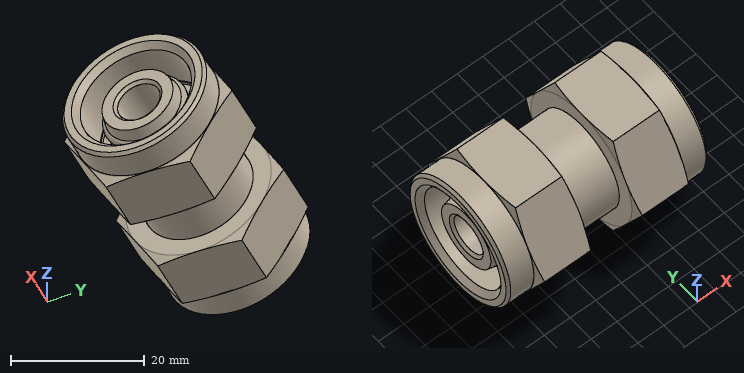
import cadquery as cq
import math

LENGTH = 39.0
MID = LENGTH / 2

ACROSS_FLATS = 24.0
NUT_LENGTH = 15.0
COLLAR_LENGTH = 5.0
COLLAR_RADIUS = 11.9
COLLAR_CHAMFER = 0.5
HEX_CHAMFER = 0.5
MOUTH_RADIUS = 10.18
MOUTH_DEPTH = 1.0
CAVITY_DEPTH = 8.4
CAVITY_RADIUS = MOUTH_RADIUS - MOUTH_DEPTH

BODY_RADIUS = 9.0
SHOULDER_DEPTH = 8.95
TIP_DEPTH = 1.6
TIP_RADIUS = 5.85
CONE_HALF_ANGLE = 12
BEAD_RADIUS = 7.0
BEAD_START_DEPTH = 3.65
BEAD_WIDTH = 1.55
BORE_RADIUS = 3.5
BORE_CHAMFER = 0.5

CORNER_RADIUS = ACROSS_FLATS / 2 / math.cos(math.radians(30))
CONE_SLOPE = math.tan(math.radians(CONE_HALF_ANGLE))


def revolve_about_x(profile):
    """Turn a closed (x, radius) profile drawn on the XY plane about the X axis."""
    return profile.close().revolve(360, (0, 0, 0), (1, 0, 0))


def cone_radius(depth):
    """Radius of the sealing cone at a distance behind the end plane of the coupling."""
    return TIP_RADIUS + (depth - TIP_DEPTH) * CONE_SLOPE


def make_hexagon():
    """Hexagon with flats at top and bottom, its corners chamfered at both ends."""
    start = -MID + COLLAR_LENGTH
    end = -MID + NUT_LENGTH
    flat_radius = ACROSS_FLATS / 2
    hexagon = (
        cq.Workplane("YZ", origin=(start, 0, 0))
        .polygon(6, 2 * CORNER_RADIUS)
        .extrude(end - start)
    )
    envelope = revolve_about_x(
        cq.Workplane("XY")
        .moveTo(start, 0)
        .lineTo(start, flat_radius)
        .lineTo(start + HEX_CHAMFER, CORNER_RADIUS)
        .lineTo(end - HEX_CHAMFER, CORNER_RADIUS)
        .lineTo(end, flat_radius)
        .lineTo(end, 0)
    )
    return hexagon.intersect(envelope)


def make_nut():
    """Union nut on the -X end: round collar, hexagon, flared mouth and stepped bore."""
    collar = (
        cq.Workplane("YZ", origin=(-MID, 0, 0))
        .circle(COLLAR_RADIUS)
        .extrude(COLLAR_LENGTH)
        .faces("<X")
        .chamfer(COLLAR_CHAMFER)
    )
    cavity = revolve_about_x(
        cq.Workplane("XY")
        .moveTo(-MID, 0)
        .lineTo(-MID, MOUTH_RADIUS)
        .lineTo(-MID + MOUTH_DEPTH, CAVITY_RADIUS)
        .lineTo(-MID + CAVITY_DEPTH, CAVITY_RADIUS)
        .lineTo(-MID + CAVITY_DEPTH, BODY_RADIUS)
        .lineTo(-MID + NUT_LENGTH, BODY_RADIUS)
        .lineTo(-MID + NUT_LENGTH, 0)
    )
    return collar.union(make_hexagon()).cut(cavity)


def make_nipple():
    """Tapered nipple on the -X end, with a rounded sealing bead around its cone."""
    bead_end_depth = BEAD_START_DEPTH + BEAD_WIDTH
    return revolve_about_x(
        cq.Workplane("XY")
        .moveTo(-MID + TIP_DEPTH, 0)
        .lineTo(-MID + TIP_DEPTH, TIP_RADIUS)
        .lineTo(-MID + BEAD_START_DEPTH, cone_radius(BEAD_START_DEPTH))
        .threePointArc(
            (-MID + BEAD_START_DEPTH + BEAD_WIDTH / 2, BEAD_RADIUS),
            (-MID + bead_end_depth, cone_radius(bead_end_depth)),
        )
        .lineTo(-MID + SHOULDER_DEPTH, cone_radius(SHOULDER_DEPTH))
        .lineTo(-MID + SHOULDER_DEPTH, 0)
    )


def make_body():
    """Tubular body with a nipple at each end and a chamfered through bore."""
    barrel_length = LENGTH - 2 * SHOULDER_DEPTH
    nipple = make_nipple()
    body = (
        cq.Workplane("YZ", origin=(-barrel_length / 2, 0, 0))
        .circle(BODY_RADIUS)
        .extrude(barrel_length)
        .union(nipple)
        .union(nipple.mirror("YZ"))
    )
    tip = MID - TIP_DEPTH
    bore = revolve_about_x(
        cq.Workplane("XY")
        .moveTo(-tip, 0)
        .lineTo(-tip, BORE_RADIUS + BORE_CHAMFER)
        .lineTo(-tip + BORE_CHAMFER, BORE_RADIUS)
        .lineTo(tip - BORE_CHAMFER, BORE_RADIUS)
        .lineTo(tip, BORE_RADIUS + BORE_CHAMFER)
        .lineTo(tip, 0)
    )
    return body.cut(bore)


body = make_body()
nuts = []
for turn in (0, 180):
    nuts.append(make_nut().rotate((0, 0, 0), (0, 0, 1), turn).val())

result = cq.Compound.makeCompound([body.val(), *nuts])